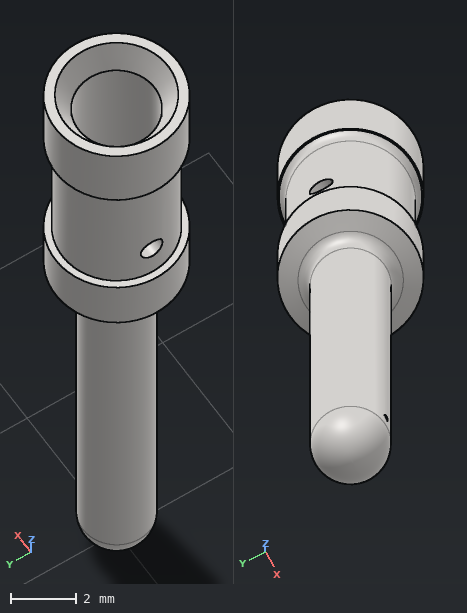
import cadquery as cq
import math

TOTAL_LENGTH = 25.0
COLLAR_RADIUS = 2.25
BARREL_RADIUS = 2.0
PIN_RADIUS = 1.25

TOP_COLLAR_LENGTH = 2.5
BARREL_LENGTH = 5.0
LOWER_COLLAR_LENGTH = 2.0

NECK_FILLET_RADIUS = 0.5
NECK_FILLET_WIDTH = 0.2
SHOULDER_CONE_ANGLE = 15.0
SHOULDER_FILLET_RADIUS = 0.5

BORE_RADIUS = 1.4
BORE_DEPTH = 7.0
DRILL_POINT_ANGLE = 118.0
MOUTH_RADIUS = 1.9
MOUTH_DEPTH = 0.8

INSPECTION_DIAMETER = 0.8
INSPECTION_DEPTH_FROM_TOP = 6.2

DIMPLE_DIAMETER = 0.2
DIMPLE_DEPTH = 0.1
DIMPLE_HEIGHT = 2.0

TOP_COLLAR_BOTTOM = TOTAL_LENGTH - TOP_COLLAR_LENGTH
LOWER_COLLAR_TOP = TOP_COLLAR_BOTTOM - BARREL_LENGTH
LOWER_COLLAR_BOTTOM = LOWER_COLLAR_TOP - LOWER_COLLAR_LENGTH


def make_body():
    """Solid of revolution: round-nosed pin, two collars and the barrel between them."""
    cone_angle = math.radians(SHOULDER_CONE_ANGLE)
    cone_end_radius = PIN_RADIUS + SHOULDER_FILLET_RADIUS * (1 - math.sin(cone_angle))
    cone_end_z = LOWER_COLLAR_BOTTOM - (COLLAR_RADIUS - cone_end_radius) * math.tan(cone_angle)
    shoulder_end_z = cone_end_z - SHOULDER_FILLET_RADIUS * math.cos(cone_angle)
    nose_offset = PIN_RADIUS * math.sqrt(0.5)
    neck_drop = math.sqrt(NECK_FILLET_RADIUS**2 - (NECK_FILLET_RADIUS - NECK_FILLET_WIDTH) ** 2)
    return (
        cq.Workplane("XZ")
        .moveTo(0, 0)
        .threePointArc((nose_offset, PIN_RADIUS - nose_offset), (PIN_RADIUS, PIN_RADIUS))
        .lineTo(PIN_RADIUS, shoulder_end_z)
        .radiusArc((cone_end_radius, cone_end_z), SHOULDER_FILLET_RADIUS)
        .lineTo(COLLAR_RADIUS, LOWER_COLLAR_BOTTOM)
        .lineTo(COLLAR_RADIUS, LOWER_COLLAR_TOP)
        .lineTo(BARREL_RADIUS, LOWER_COLLAR_TOP)
        .lineTo(BARREL_RADIUS, TOP_COLLAR_BOTTOM - neck_drop)
        .radiusArc((BARREL_RADIUS + NECK_FILLET_WIDTH, TOP_COLLAR_BOTTOM), NECK_FILLET_RADIUS)
        .lineTo(COLLAR_RADIUS, TOP_COLLAR_BOTTOM)
        .lineTo(COLLAR_RADIUS, TOTAL_LENGTH)
        .lineTo(0, TOTAL_LENGTH)
        .close()
        .revolve(360, (0, 0, 0), (0, 1, 0))
    )


def make_socket():
    """Drilled wire socket with a conical mouth and a conical floor."""
    bore_bottom = TOTAL_LENGTH - BORE_DEPTH
    drill_point_depth = BORE_RADIUS / math.tan(math.radians(DRILL_POINT_ANGLE / 2))
    return (
        cq.Workplane("XZ")
        .moveTo(0, TOTAL_LENGTH)
        .lineTo(MOUTH_RADIUS, TOTAL_LENGTH)
        .lineTo(BORE_RADIUS, TOTAL_LENGTH - MOUTH_DEPTH)
        .lineTo(BORE_RADIUS, bore_bottom)
        .lineTo(0, bore_bottom - drill_point_depth)
        .close()
        .revolve(360, (0, 0, 0), (0, 1, 0))
    )


def make_inspection_hole():
    """Radial cylinder from the socket axis out through the -X wall."""
    return (
        cq.Workplane("YZ")
        .center(0, TOTAL_LENGTH - INSPECTION_DEPTH_FROM_TOP)
        .circle(INSPECTION_DIAMETER / 2)
        .extrude(-COLLAR_RADIUS)
    )


def make_dimple():
    """Shallow radial hole in the -Y side of the pin."""
    return (
        cq.Workplane("XZ", origin=(0, DIMPLE_DEPTH - PIN_RADIUS, DIMPLE_HEIGHT))
        .circle(DIMPLE_DIAMETER / 2)
        .extrude(PIN_RADIUS)
    )


result = make_body().cut(make_socket()).cut(make_inspection_hole()).cut(make_dimple())